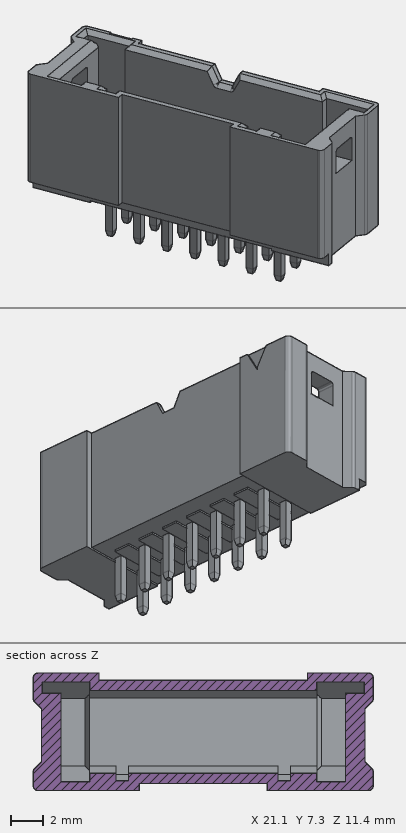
import cadquery as cq
import math

LENGTH = 21.1
DEPTH = 7.3
HEIGHT = 8.4
HALF_LENGTH = LENGTH / 2
HALF_DEPTH = DEPTH / 2
CORNER_RADIUS = 0.32

RELIEF_DEPTH = 0.45
END_RELIEF_DEPTH = 0.5
FRONT_RELIEF_WIDTH = 7.93
REAR_RELIEF_WIDTH = 12.91
END_FOOT_FRONT = -1.85
END_FOOT_REAR = 1.43
STEP_DEPTH = 0.82
STEP_HEIGHT = 0.82

FLOOR_Z = 1.5
MIDDLE_HALF_WIDTH = 7.05
MIDDLE_HALF_DEPTH = 2.55
MIDDLE_FLOOR_BEVEL = 0.45
POCKET_END_X = 8.82
POCKET_FRONT_Y = -3.08
POCKET_REAR_Y = 3.08
POCKET_DROP = 0.27
POCKET_FRONT_BEVEL = 0.95
POCKET_REAR_BEVEL = 1.01
EAR_END_X = 9.98
EAR_FRONT_Y = 2.4
KEYWAY_X = 5.02
KEYWAY_WIDTH = 0.75
KEYWAY_FRONT_Y = -3.02
KEYWAY_BEVEL = 0.38
MOUTH_BEVEL = 0.3
END_BEVEL_WIDTH = 0.38
END_BEVEL_HEIGHT = 0.5

WINDOW_WIDTH = 1.98
WINDOW_BOTTOM = 5.5
WINDOW_TOP = 7.17
WINDOW_RADIUS = 0.2
NOTCH_TOP_WIDTH = 1.98
NOTCH_BOTTOM_WIDTH = 0.95
NOTCH_DEPTH = 1.0
MARK_X = -7.87
MARK_WIDTH = 1.6
MARK_HEIGHT = MARK_WIDTH * math.sqrt(3) / 2
MARK_DEPTH = 0.13

PIN_COLUMNS = 7
PIN_PITCH = 2.0
PIN_SIZE = 0.5
PIN_LENGTH = 3.0
PIN_TIP_LENGTH = 0.4
PIN_TIP_SIZE = 0.32
PIN_ROOT_Z = 0.63
UNDERSIDE_WIDTH = REAR_RELIEF_WIDTH
UNDERSIDE_DEPTH = 0.13
PAD_WIDTH = 1.15
PAD_DEPTH = 2 * PIN_PITCH


def box(x0, x1, y0, y1, z0, z1):
    return cq.Workplane("XY").box(x1 - x0, y1 - y0, z1 - z0, centered=False).translate((x0, y0, z0))


def mirrored(points):
    """Close a right-hand half outline with its mirror image in X."""
    return points + [(-x, y) for x, y in reversed(points)]


def housing_block():
    relief_x = HALF_LENGTH - END_RELIEF_DEPTH
    corner_front = END_FOOT_FRONT - END_RELIEF_DEPTH
    corner_rear = END_FOOT_REAR + END_RELIEF_DEPTH
    right_half = [
        (FRONT_RELIEF_WIDTH / 2, RELIEF_DEPTH - HALF_DEPTH),
        (FRONT_RELIEF_WIDTH / 2, -HALF_DEPTH),
        (HALF_LENGTH, -HALF_DEPTH),
        (HALF_LENGTH, corner_front),
        (relief_x, END_FOOT_FRONT),
        (relief_x, END_FOOT_REAR),
        (HALF_LENGTH, corner_rear),
        (HALF_LENGTH, HALF_DEPTH),
        (REAR_RELIEF_WIDTH / 2, HALF_DEPTH),
        (REAR_RELIEF_WIDTH / 2, HALF_DEPTH - RELIEF_DEPTH),
    ]
    block = cq.Workplane("XY").polyline(mirrored(right_half)).close().extrude(HEIGHT)
    block = block.edges("|Z and (>X or <X)").fillet(CORNER_RADIUS)
    step_y = STEP_DEPTH - HALF_DEPTH
    return block.cut(box(-HALF_LENGTH, HALF_LENGTH, -HALF_DEPTH, step_y, 0, STEP_HEIGHT))


def trough(x0, x1, y_front, y_rear, floor_z, front_bevel, rear_bevel):
    """Straight-walled channel along X whose floor meets its long walls through 45 degree slopes."""
    profile = [(y_front, HEIGHT), (y_front, floor_z + front_bevel)]
    profile.append((y_front + front_bevel, floor_z))
    profile.append((y_rear - rear_bevel, floor_z))
    if rear_bevel:
        profile.append((y_rear, floor_z + rear_bevel))
    profile.append((y_rear, HEIGHT))
    return cq.Workplane("YZ").polyline(profile).close().extrude(x1 - x0).translate((x0, 0, 0))


def end_pocket():
    """Right-hand pocket, its floor sunk below the middle floor, with the ear at its rear corner."""
    floor_z = FLOOR_Z - POCKET_DROP
    deep = trough(MIDDLE_HALF_WIDTH, EAR_END_X, POCKET_FRONT_Y, POCKET_REAR_Y,
                  floor_z, POCKET_FRONT_BEVEL, POCKET_REAR_BEVEL)
    deep = deep.edges("<X and <Z").chamfer(POCKET_DROP)
    return deep.cut(box(POCKET_END_X, EAR_END_X, -HALF_DEPTH, EAR_FRONT_Y, 0, HEIGHT))


def keyway(x):
    half = KEYWAY_WIDTH / 2
    return trough(x - half, x + half, KEYWAY_FRONT_Y, 0, FLOOR_Z, KEYWAY_BEVEL, 0)


def mouth_outline(bevel, end_bevel):
    """Cavity outline moved outwards by the bevel (by end_bevel on the end walls)."""
    half = KEYWAY_WIDTH / 2 + bevel
    middle_x = MIDDLE_HALF_WIDTH - bevel
    middle_y = MIDDLE_HALF_DEPTH + bevel
    keyway_y = KEYWAY_FRONT_Y - bevel
    pocket_front = POCKET_FRONT_Y - bevel
    pocket_rear = POCKET_REAR_Y + bevel
    end_x = POCKET_END_X + end_bevel
    ear_x = EAR_END_X + bevel
    ear_y = EAR_FRONT_Y - bevel
    return mirrored([
        (KEYWAY_X - half, -middle_y),
        (KEYWAY_X - half, keyway_y),
        (KEYWAY_X + half, keyway_y),
        (KEYWAY_X + half, -middle_y),
        (middle_x, -middle_y),
        (middle_x, pocket_front),
        (end_x, pocket_front),
        (end_x, ear_y),
        (ear_x, ear_y),
        (ear_x, pocket_rear),
        (middle_x, pocket_rear),
        (middle_x, middle_y),
    ])


def mouth_bevel():
    start_z = HEIGHT - MOUTH_BEVEL
    end_offset = END_BEVEL_WIDTH * (1 - MOUTH_BEVEL / END_BEVEL_HEIGHT)
    lower = cq.Workplane("XY", origin=(0, 0, start_z)).polyline(mouth_outline(0, end_offset)).close()
    upper = lower.workplane(offset=MOUTH_BEVEL)
    return upper.polyline(mouth_outline(MOUTH_BEVEL, END_BEVEL_WIDTH)).close().loft(ruled=True)


def end_wall_bevel():
    """Wedge that carries the right-hand end wall's bevel down below the rest of the mouth bevel."""
    profile = [
        (POCKET_END_X, HEIGHT),
        (POCKET_END_X, HEIGHT - END_BEVEL_HEIGHT),
        (POCKET_END_X + END_BEVEL_WIDTH, HEIGHT),
    ]
    sketch = cq.Workplane("XZ", origin=(0, EAR_FRONT_Y, 0)).polyline(profile).close()
    return sketch.extrude(EAR_FRONT_Y - POCKET_FRONT_Y)


def cavity():
    middle = trough(-MIDDLE_HALF_WIDTH, MIDDLE_HALF_WIDTH, -MIDDLE_HALF_DEPTH, MIDDLE_HALF_DEPTH,
                    FLOOR_Z, MIDDLE_FLOOR_BEVEL, MIDDLE_FLOOR_BEVEL)
    pocket = end_pocket().union(end_wall_bevel())
    space = middle.union(pocket).union(pocket.mirror("YZ"))
    for x in (-KEYWAY_X, KEYWAY_X):
        space = space.union(keyway(x))
    return space.union(mouth_bevel())


def end_windows():
    height = WINDOW_TOP - WINDOW_BOTTOM
    middle_z = (WINDOW_TOP + WINDOW_BOTTOM) / 2
    opening = cq.Workplane("XY").box(LENGTH, WINDOW_WIDTH, height)
    return opening.edges("|X and >Z").fillet(WINDOW_RADIUS).translate((0, 0, middle_z))


def rear_notch():
    """Trapezoidal notch in the rear wall, bevelled on the cavity side like the rim."""
    slope_run = (NOTCH_TOP_WIDTH - NOTCH_BOTTOM_WIDTH) / 2
    top_half = NOTCH_TOP_WIDTH / 2 + slope_run
    bottom_half = NOTCH_BOTTOM_WIDTH / 2
    profile = [
        (-top_half, HEIGHT + NOTCH_DEPTH),
        (-bottom_half, HEIGHT - NOTCH_DEPTH),
        (bottom_half, HEIGHT - NOTCH_DEPTH),
        (top_half, HEIGHT + NOTCH_DEPTH),
    ]
    sketch = cq.Workplane("XZ", origin=(0, HALF_DEPTH, 0)).polyline(profile).close()
    notch = sketch.extrude(HALF_DEPTH)
    bevel_plane = cq.Workplane("XZ", origin=(0, MIDDLE_HALF_DEPTH + MOUTH_BEVEL, 0))
    bevel = bevel_plane.polyline(profile).close().extrude(MOUTH_BEVEL, taper=-45)
    return notch.union(bevel)


def pin_one_mark():
    """Shallow triangle pointing down from the rim on the rear face."""
    points = [
        (MARK_X - MARK_WIDTH / 2, HEIGHT),
        (MARK_X, HEIGHT - MARK_HEIGHT),
        (MARK_X + MARK_WIDTH / 2, HEIGHT),
    ]
    return cq.Workplane("XZ", origin=(0, HALF_DEPTH, 0)).polyline(points).close().extrude(MARK_DEPTH)


def underside_recess():
    """Clearance under the housing, leaving a pad between neighbouring pin columns."""
    half = UNDERSIDE_WIDTH / 2
    recess = box(-half, half, -HALF_DEPTH, HALF_DEPTH, 0, UNDERSIDE_DEPTH)
    pads = cq.Workplane("XY").rarray(PIN_PITCH, 0.21, PIN_COLUMNS - 1, 1).rect(PAD_WIDTH, PAD_DEPTH)
    return recess.cut(pads.extrude(UNDERSIDE_DEPTH))


def pins():
    shank_end = PIN_TIP_LENGTH - PIN_LENGTH
    shank = box(-PIN_SIZE / 2, PIN_SIZE / 2, -PIN_SIZE / 2, PIN_SIZE / 2, shank_end, PIN_ROOT_Z)
    tip = cq.Workplane("XY", origin=(0, 0, shank_end)).rect(PIN_SIZE, PIN_SIZE)
    tip = tip.workplane(offset=-PIN_TIP_LENGTH).rect(PIN_TIP_SIZE, PIN_TIP_SIZE).loft(ruled=True)
    pin = shank.union(tip).val()
    grid = cq.Workplane("XY").rarray(PIN_PITCH, PIN_PITCH, PIN_COLUMNS, 2)
    return grid.eachpoint(lambda place: pin.moved(place), combine=False)


housing = housing_block().cut(cavity())
for opening in (end_windows(), rear_notch(), pin_one_mark(), underside_recess()):
    housing = housing.cut(opening)

result = housing.union(pins())